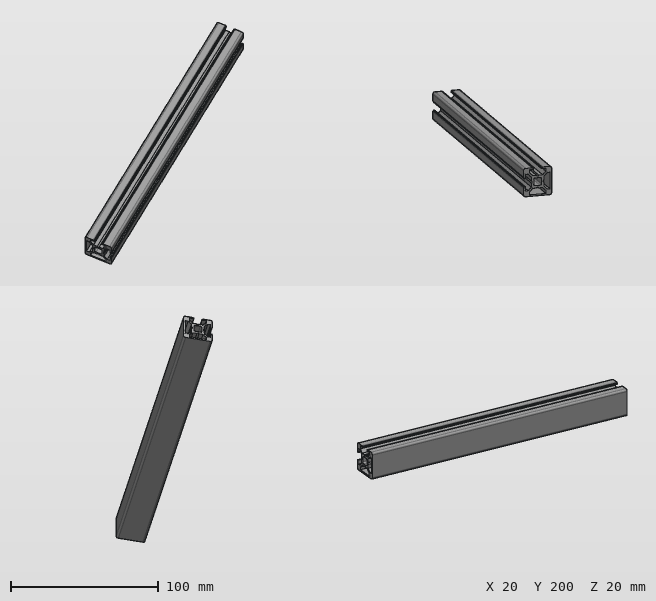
import cadquery as cq

length = 200.0
side = 20.0
wall = 1.2
corner_radius = 1.5

core_side = 9.0
bore_side = 5.5
bore_radius = 1.0

channel_half_width = 5.8
shoulder_height = 6.8
groove_half_width = 0.7
groove_depth = 0.5

mouth_half_width = 2.8
ledge_width = 0.5
ledge_depth = 0.5

half = side / 2
core_half = core_side / 2
channel_top = half - wall
waist_half_width = channel_half_width - (shoulder_height - core_half)


def extrude_profile(sketch):
    """Extrude a profile in the XZ plane over the full length, centred on Y."""
    return sketch.extrude(length / 2, both=True)


def channel():
    """Undercut channel on the +Z side of the core, with a shallow round groove in its floor."""
    return extrude_profile(
        cq.Workplane("XZ")
        .moveTo(-channel_half_width, channel_top)
        .lineTo(-channel_half_width, shoulder_height)
        .lineTo(-waist_half_width, core_half)
        .lineTo(-groove_half_width, core_half)
        .threePointArc((0, core_half - groove_depth), (groove_half_width, core_half))
        .lineTo(waist_half_width, core_half)
        .lineTo(channel_half_width, shoulder_height)
        .lineTo(channel_half_width, channel_top)
        .close()
    )


def mouth():
    """Slot through the +Z outer wall, with a narrow ledge and a rounded outer edge on each lip."""
    ledge_half_width = mouth_half_width + ledge_width
    ledge_height = half - ledge_depth
    outer_half_width = ledge_half_width + ledge_depth
    return extrude_profile(
        cq.Workplane("XZ")
        .moveTo(-mouth_half_width, channel_top)
        .lineTo(-mouth_half_width, ledge_height)
        .lineTo(-ledge_half_width, ledge_height)
        .radiusArc((-outer_half_width, half), -ledge_depth)
        .lineTo(outer_half_width, half)
        .radiusArc((ledge_half_width, ledge_height), -ledge_depth)
        .lineTo(mouth_half_width, ledge_height)
        .lineTo(mouth_half_width, channel_top)
        .close()
    )


def turn(body, angle):
    """Turn a body about the long axis of the profile."""
    return body.rotate((0, 0, 0), (0, 1, 0), angle)


result = cq.Workplane("XY").box(side, length, side).edges("|Y").fillet(corner_radius)

for angle in (0, 90, 180, 270):
    result = result.cut(turn(channel(), angle))
for angle in (0, 90):
    result = result.cut(turn(mouth(), angle))

bore = cq.Workplane("XY").box(bore_side, length, bore_side).edges("|Y").fillet(bore_radius)
result = result.cut(bore)